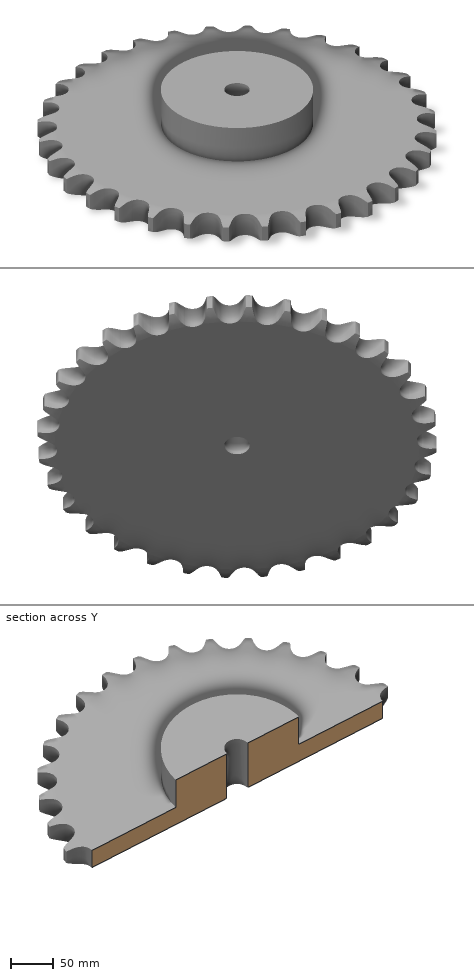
import cadquery as cq
import math

overall_width = 470.5
overall_height = 75.0
plate_thickness = 29.0
hub_diameter = 180.0
bore_diameter = 30.0

tooth_count = 32
pitch_radius = 226.5
seat_radius = 14.0
seat_clearance = 1.01
working_offset_ratio = 0.8
topping_offset_ratio = 1.4
seat_end_angle = math.radians(35 + 60 / tooth_count)
working_arc_angle = math.radians(18 - 56 / tooth_count)
side_relief_start = 215.5

half_pitch_angle = math.pi / tooth_count
chain_pitch = 2 * pitch_radius * math.sin(half_pitch_angle)
roller_diameter = 2 * seat_radius / seat_clearance
working_offset = working_offset_ratio * roller_diameter
working_radius = working_offset + seat_radius
topping_offset = topping_offset_ratio * roller_diameter
side_relief_radius = chain_pitch

working_centre = (
    pitch_radius + working_offset * math.sin(seat_end_angle),
    -working_offset * math.cos(seat_end_angle),
)


def on_working_arc(angle):
    """Point on the concave working arc at the given angle."""
    return (
        working_centre[0] - working_radius * math.sin(angle),
        working_centre[1] + working_radius * math.cos(angle),
    )


def on_seat(angle):
    """Point on the roller seat at the given angle."""
    return (pitch_radius - seat_radius * math.sin(angle), seat_radius * math.cos(angle))


def rotated(point, angle):
    """Turn a point about the sprocket axis."""
    x, y = point
    return (
        x * math.cos(angle) - y * math.sin(angle),
        x * math.sin(angle) + y * math.cos(angle),
    )


def mirrored(point):
    """Reflect a point across the centreline of the gap on +X."""
    return (point[0], -point[1])


seat_bottom = on_seat(math.pi / 2)
seat_end = on_seat(seat_end_angle)

straight_angle = seat_end_angle - working_arc_angle
working_middle = on_working_arc(seat_end_angle - working_arc_angle / 2)
working_end = on_working_arc(straight_angle)

topping_centre = (
    pitch_radius - topping_offset * math.sin(half_pitch_angle),
    topping_offset * math.cos(half_pitch_angle),
)
straight_length = (topping_centre[0] - working_end[0]) * math.cos(straight_angle) + (
    topping_centre[1] - working_end[1]
) * math.sin(straight_angle)
straight_end = (
    working_end[0] + straight_length * math.cos(straight_angle),
    working_end[1] + straight_length * math.sin(straight_angle),
)
topping_radius = math.dist(topping_centre, straight_end)


def on_topping_arc(x):
    """Point on the topping arc at a distance x along the gap centreline."""
    return (x, topping_centre[1] - math.sqrt(topping_radius**2 - (x - topping_centre[0]) ** 2))


tip_corner = on_topping_arc(overall_width / 2)
topping_middle = on_topping_arc((straight_end[0] + tip_corner[0]) / 2)
tip_radius = math.hypot(*tip_corner)
tip_middle = rotated((tip_radius, 0), half_pitch_angle)
next_tip_corner = rotated(mirrored(tip_corner), 2 * half_pitch_angle)


def add_arc(outline, middle, end, angle):
    """Extend the outline with an arc, given for the gap on +X and turned to its own gap."""
    return outline.threePointArc(rotated(middle, angle), rotated(end, angle))


def add_line(outline, end, angle):
    """Extend the outline with a straight, given for the gap on +X and turned to its own gap."""
    return outline.lineTo(*rotated(end, angle))


def tooth_outline():
    """Closed outline of all teeth, running counter-clockwise from a tip corner."""
    outline = cq.Workplane("XY").moveTo(*mirrored(tip_corner))
    for gap in range(tooth_count):
        angle = 2 * half_pitch_angle * gap
        outline = add_arc(outline, mirrored(topping_middle), mirrored(straight_end), angle)
        outline = add_line(outline, mirrored(working_end), angle)
        outline = add_arc(outline, mirrored(working_middle), mirrored(seat_end), angle)
        outline = add_arc(outline, seat_bottom, seat_end, angle)
        outline = add_arc(outline, working_middle, working_end, angle)
        outline = add_line(outline, straight_end, angle)
        outline = add_arc(outline, topping_middle, tip_corner, angle)
        outline = add_arc(outline, tip_middle, next_tip_corner, angle)
    return outline.close()


def side_relief_envelope():
    """Disc whose rim curves inward on both faces, limiting the tooth thickness."""
    relief_run = tip_radius - side_relief_start

    def relief_depth(run):
        return side_relief_radius - math.sqrt(side_relief_radius**2 - run**2)

    tip_depth = relief_depth(relief_run)
    middle_depth = relief_depth(relief_run / 2)
    middle_radius = side_relief_start + relief_run / 2
    return (
        cq.Workplane("XZ")
        .lineTo(side_relief_start, 0)
        .threePointArc((middle_radius, middle_depth), (tip_radius, tip_depth))
        .lineTo(tip_radius, plate_thickness - tip_depth)
        .threePointArc(
            (middle_radius, plate_thickness - middle_depth),
            (side_relief_start, plate_thickness),
        )
        .lineTo(0, plate_thickness)
        .close()
        .revolve(360, (0, 0, 0), (0, 1, 0))
    )


toothed_plate = tooth_outline().extrude(plate_thickness).intersect(side_relief_envelope())
hub = cq.Workplane("XY").circle(hub_diameter / 2).extrude(overall_height)
bore = cq.Workplane("XY").circle(bore_diameter / 2).extrude(overall_height)

result = toothed_plate.union(hub).cut(bore)